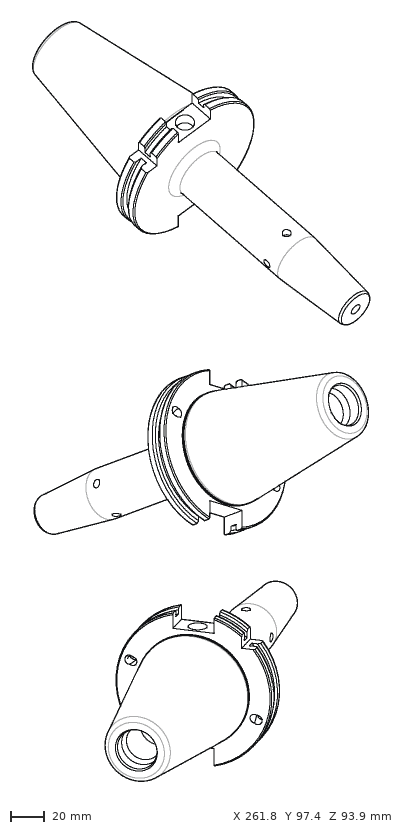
import cadquery as cq
import math

total_length = 261.8

drill_point_angle = 118.0
point_slope = math.tan(math.radians(drill_point_angle / 2))

gauge_diameter = 70.0
gauge_radius = gauge_diameter / 2
gauge_x = 102.0
taper_slope = 7 / 24 / 2
shank_end_radius = gauge_radius - gauge_x * taper_slope
shank_end_round = 3.0
relief_depth = 0.3
relief_start_x = 103.7
relief_end_x = 104.5

flange_x = 105.0
flange_width = 16.0
flange_end_x = flange_x + flange_width
flange_radius = 48.7
flange_chamfer = 0.8

groove_start_x = 110.5
groove_end_x = 115.0
groove_floor_radius = 44.8
groove_front_chamfer = 0.8
groove_rear_chamfer = 1.3

slot_width = 25.7
top_slot_floor = 37.5
bottom_slot_floor = 35.5
notch_offset = 30.0
cutter_size = 52.4

pocket_x = (groove_start_x + groove_end_x) / 2
pocket_diameter = 11.3
pocket_depth = 7.9

coolant_circle_radius = 42.5
coolant_angle = 19.5
coolant_diameter = 5.8
coolant_depth = 8.6
inclined_offset = 1.5
inclined_diameter = 5.5
inclined_length = 13.0
inclined_angle = 30.0

body_radius = 16.0
body_fillet = 4.7
nose_start_x = 211.0
nose_end_radius = 12.3
nose_chamfer_length = 1.5
nose_chamfer_drop = 0.8

screw_x = 201.5
screw_diameter = 5.2
screw_depth = 5.2
screw_count = 4

mouth_radius = 13.0
mouth_chamfer_length = 1.5
mouth_chamfer_drop = 0.8
entry_radius = mouth_radius - mouth_chamfer_drop
entry_depth = 9.2
step_length = 4.2
thread_radius = 10.7
thread_depth = 39.3
passage_radius = 3.5


def turned_body():
    """Solid of revolution: shank, flange, body and nose."""
    edge_radius = flange_radius - flange_chamfer
    return (
        cq.Workplane("XY")
        .moveTo(0, 0)
        .lineTo(0, shank_end_radius)
        .lineTo(gauge_x, gauge_radius)
        .lineTo(relief_start_x, gauge_radius)
        .lineTo(relief_start_x, gauge_radius - relief_depth)
        .lineTo(relief_end_x, gauge_radius - relief_depth)
        .lineTo(relief_end_x, gauge_radius)
        .lineTo(flange_x, gauge_radius)
        .lineTo(flange_x, edge_radius)
        .lineTo(flange_x + flange_chamfer, flange_radius)
        .lineTo(groove_start_x - groove_front_chamfer, flange_radius)
        .lineTo(groove_start_x, flange_radius - groove_front_chamfer)
        .lineTo(groove_start_x, groove_floor_radius)
        .lineTo(groove_end_x, groove_floor_radius)
        .lineTo(groove_end_x, flange_radius - groove_rear_chamfer)
        .lineTo(groove_end_x + groove_rear_chamfer, flange_radius)
        .lineTo(flange_end_x - flange_chamfer, flange_radius)
        .lineTo(flange_end_x, edge_radius)
        .lineTo(flange_end_x, body_radius + body_fillet)
        .radiusArc((flange_end_x + body_fillet, body_radius), -body_fillet)
        .lineTo(nose_start_x, body_radius)
        .lineTo(total_length - nose_chamfer_length, nose_end_radius)
        .lineTo(total_length, nose_end_radius - nose_chamfer_drop)
        .lineTo(total_length, 0)
        .close()
        .revolve(360, (0, 0, 0), (1, 0, 0))
        .faces("<X")
        .edges()
        .fillet(shank_end_round)
    )


def stepped_bore():
    """Chamfered entry bore, cone, thread bore with a drill point, and through passage."""
    point_x = thread_depth + (thread_radius - passage_radius) / point_slope
    return (
        cq.Workplane("XY")
        .polyline(
            [
                (0, 0),
                (0, mouth_radius),
                (mouth_chamfer_length, entry_radius),
                (entry_depth, entry_radius),
                (entry_depth + step_length, thread_radius),
                (thread_depth, thread_radius),
                (point_x, passage_radius),
                (total_length, passage_radius),
                (total_length, 0),
            ]
        )
        .close()
        .revolve(360, (0, 0, 0), (1, 0, 0))
    )


def flange_cutter(y_center, width, floor_z):
    """Block across the whole flange width, open upward from floor_z."""
    return (
        cq.Workplane("XY")
        .box(flange_width, width, cutter_size, centered=(False, True, False))
        .translate((flange_x, y_center, floor_z))
    )


def drive_slots():
    """Top and bottom slots, cut to different depths."""
    top = flange_cutter(0, slot_width, top_slot_floor)
    bottom = flange_cutter(0, slot_width, bottom_slot_floor).rotate((0, 0, 0), (1, 0, 0), 180)
    return top.union(bottom)


def orientation_notch():
    """Corner cut out of the flange rim at -Y +Z."""
    return flange_cutter(-notch_offset - cutter_size / 2, cutter_size, notch_offset)


def drill(start, direction, diameter, depth):
    """Plain round hole from a start point along a direction."""
    return cq.Workplane(
        cq.Solid.makeCylinder(diameter / 2, depth, cq.Vector(*start), cq.Vector(*direction))
    )


def drill_point(radius):
    """Cone left by the drill tip, with its base at the origin and its tip along +X."""
    height = radius / point_slope
    return cq.Workplane(cq.Solid.makeCone(radius, 0, height, dir=cq.Vector(1, 0, 0)))


def coolant_hole(angle):
    """Straight blind hole joined by a hole that leans toward the axis."""
    lean = math.radians(inclined_angle)
    start = (flange_x, coolant_circle_radius, 0)
    straight = drill(start, (1, 0, 0), coolant_diameter, coolant_depth)
    point_base = (flange_x + coolant_depth, coolant_circle_radius, 0)
    point = drill_point(coolant_diameter / 2).translate(point_base)
    inclined_start = (flange_x, coolant_circle_radius - inclined_offset, 0)
    inclined_direction = (math.cos(lean), -math.sin(lean), 0)
    inclined = drill(inclined_start, inclined_direction, inclined_diameter, inclined_length)
    return straight.union(point).union(inclined).rotate((0, 0, 0), (1, 0, 0), angle)


def screw_hole(angle):
    """Blind radial hole in the body, turned about the axis from +Z."""
    start = (screw_x, 0, body_radius - screw_depth)
    hole = drill(start, (0, 0, 1), screw_diameter, 2 * screw_depth)
    return hole.rotate((0, 0, 0), (1, 0, 0), angle)


result = turned_body().cut(stepped_bore()).cut(drive_slots()).cut(orientation_notch())

pocket_start = (pocket_x, 0, top_slot_floor - pocket_depth)
result = result.cut(drill(pocket_start, (0, 0, 1), pocket_diameter, pocket_depth))

for angle in (coolant_angle, coolant_angle + 180):
    result = result.cut(coolant_hole(angle))

for index in range(screw_count):
    result = result.cut(screw_hole(index * 360 / screw_count))